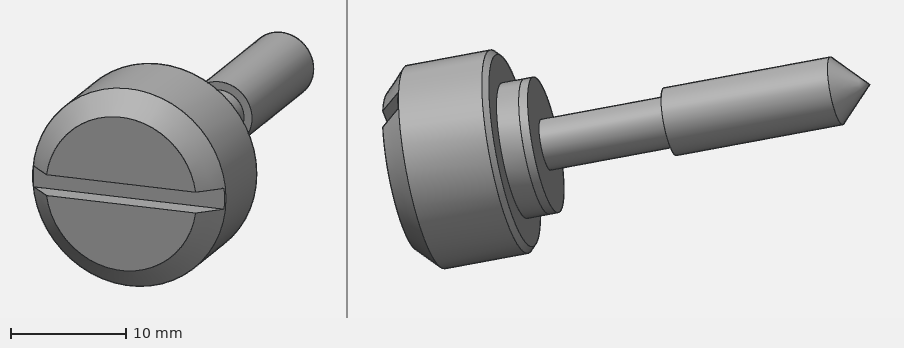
import cadquery as cq


head_radius = 9.0
head_length = 10.0
front_chamfer = 2.0
back_chamfer = 0.5
slot_width = 1.9
slot_depth = 1.9

collar_radius = 6.0
collar_length = 2.0
washer_radius = collar_radius
washer_thickness = 0.8

overall_length = 42.0
neck_radius = 2.25
end_radius = 3.0
end_start = 24.0
point_length = end_radius

collar_end = head_length + collar_length
point_start = overall_length - point_length


def make_screw():
    """Turned screw with a driver slot across the head face."""
    profile = [
        (0, 0),
        (head_radius - front_chamfer, 0),
        (head_radius, front_chamfer),
        (head_radius, head_length - back_chamfer),
        (head_radius - back_chamfer, head_length),
        (collar_radius, head_length),
        (collar_radius, collar_end),
        (neck_radius, collar_end),
        (neck_radius, end_start),
        (end_radius, end_start),
        (end_radius, point_start),
        (0, overall_length),
    ]
    turned = cq.Workplane("XY").polyline(profile).close().revolve(360, (0, 0, 0), (0, 1, 0))
    slot = cq.Workplane("XY").box(
        2 * head_radius, slot_depth, slot_width, centered=(True, False, True)
    )
    return turned.cut(slot)


def make_washer():
    """Flat washer around the neck, flush with the collar's outside."""
    ring_width = washer_radius - neck_radius
    section = (
        cq.Workplane("XY")
        .moveTo(neck_radius, collar_end)
        .rect(ring_width, washer_thickness, centered=False)
    )
    return section.revolve(360, (0, 0, 0), (0, 1, 0))


screw = make_screw()
washer = make_washer()

result = cq.Compound.makeCompound([screw.val(), washer.val()])